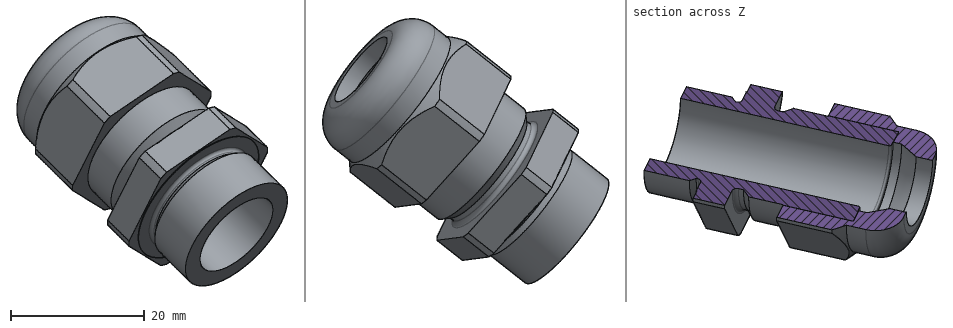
import cadquery as cq
import math

LENGTH = 40.3

ACROSS_FLATS = 24.0
CORNER_DIAMETER = 27.0
CORNER_RADIUS = CORNER_DIAMETER / 2

DOME_RADIUS = 11.8
DOME_ROUNDING = 4.5
NUT_CHAMFER_START = 7.58
NUT_CHAMFER = CORNER_RADIUS - DOME_RADIUS
NUT_END = 18.05

ENTRY_RADIUS = 6.1
ENTRY_DEPTH = 2.6
SEAL_SEAT_RADIUS = 8.05
SEAL_SEAT_START = 5.55
BODY_START = 6.95

COLLAR_RADIUS = 10.5
COLLAR_END = 23.5
FRONT_NECK_RADIUS = 9.25
FLANGE_START = 26.28
FLANGE_HEX_END = 31.3
FLANGE_FACE = 31.45
FLANGE_FACE_RADIUS = 11.73
FRONT_NECK_FILLET = 0.73
REAR_NECK_RADIUS = 9.15
REAR_NECK_FILLET = 0.52
REAR_NECK_END = 32.3
THREAD_RADIUS = 9.95

BODY_BORE_RADIUS = 7.1
BODY_BORE_ROUNDING = 0.35


def revolve_about_x(profile):
    """Turn a closed (X, radius) outline around the X axis."""
    return profile.close().revolve(360, (0, 0, 0), (1, 0, 0))


def rounded_hexagon(start, end):
    """Hexagonal prism along X, flats at +Z and -Z, corners turned round."""
    across_corners = ACROSS_FLATS / math.cos(math.pi / 6)
    base = cq.Workplane("YZ", origin=(start, 0, 0))
    prism = base.polygon(6, across_corners).extrude(end - start)
    return prism.intersect(base.circle(CORNER_RADIUS).extrude(end - start))


def make_nut():
    dome = revolve_about_x(
        cq.Workplane("XY")
        .moveTo(0, 0)
        .lineTo(0, DOME_RADIUS - DOME_ROUNDING)
        .radiusArc((DOME_ROUNDING, DOME_RADIUS), DOME_ROUNDING)
        .lineTo(NUT_CHAMFER_START, DOME_RADIUS)
        .lineTo(NUT_CHAMFER_START, 0)
    )
    chamfer_envelope = revolve_about_x(
        cq.Workplane("XY")
        .moveTo(NUT_CHAMFER_START, 0)
        .lineTo(NUT_CHAMFER_START, DOME_RADIUS)
        .lineTo(NUT_CHAMFER_START + NUT_CHAMFER, CORNER_RADIUS)
        .lineTo(NUT_END, CORNER_RADIUS)
        .lineTo(NUT_END, 0)
    )
    cavity = revolve_about_x(
        cq.Workplane("XY")
        .moveTo(0, 0)
        .lineTo(0, ENTRY_RADIUS)
        .lineTo(ENTRY_DEPTH, ENTRY_RADIUS)
        .lineTo(SEAL_SEAT_START, SEAL_SEAT_RADIUS)
        .lineTo(BODY_START, SEAL_SEAT_RADIUS)
        .lineTo(BODY_START, COLLAR_RADIUS)
        .lineTo(NUT_END, COLLAR_RADIUS)
        .lineTo(NUT_END, 0)
    )
    hexagon = rounded_hexagon(NUT_CHAMFER_START, NUT_END).intersect(chamfer_envelope)
    return dome.union(hexagon).cut(cavity)


def make_body():
    cone_end = COLLAR_END + COLLAR_RADIUS - FRONT_NECK_RADIUS
    thread_start = REAR_NECK_END + THREAD_RADIUS - REAR_NECK_RADIUS
    turned = revolve_about_x(
        cq.Workplane("XY")
        .moveTo(BODY_START, BODY_BORE_RADIUS + BODY_BORE_ROUNDING)
        .lineTo(BODY_START, COLLAR_RADIUS)
        .lineTo(COLLAR_END, COLLAR_RADIUS)
        .lineTo(cone_end, FRONT_NECK_RADIUS)
        .lineTo(FLANGE_START - FRONT_NECK_FILLET, FRONT_NECK_RADIUS)
        .radiusArc((FLANGE_START, FRONT_NECK_RADIUS + FRONT_NECK_FILLET), -FRONT_NECK_FILLET)
        .lineTo(FLANGE_START, FLANGE_FACE_RADIUS)
        .lineTo(FLANGE_FACE, FLANGE_FACE_RADIUS)
        .lineTo(FLANGE_FACE, REAR_NECK_RADIUS + REAR_NECK_FILLET)
        .radiusArc((FLANGE_FACE + REAR_NECK_FILLET, REAR_NECK_RADIUS), -REAR_NECK_FILLET)
        .lineTo(REAR_NECK_END, REAR_NECK_RADIUS)
        .lineTo(thread_start, THREAD_RADIUS)
        .lineTo(LENGTH, THREAD_RADIUS)
        .lineTo(LENGTH, BODY_BORE_RADIUS)
        .lineTo(BODY_START + BODY_BORE_ROUNDING, BODY_BORE_RADIUS)
        .radiusArc((BODY_START, BODY_BORE_RADIUS + BODY_BORE_ROUNDING), BODY_BORE_ROUNDING)
    )
    flange = rounded_hexagon(FLANGE_START, FLANGE_HEX_END)
    flange_bore = (
        cq.Workplane("YZ", origin=(FLANGE_START, 0, 0))
        .circle(BODY_BORE_RADIUS)
        .extrude(FLANGE_HEX_END - FLANGE_START)
    )
    return turned.union(flange.cut(flange_bore))


nut = make_nut()
body = make_body()
result = cq.Compound.makeCompound([nut.val(), body.val()])